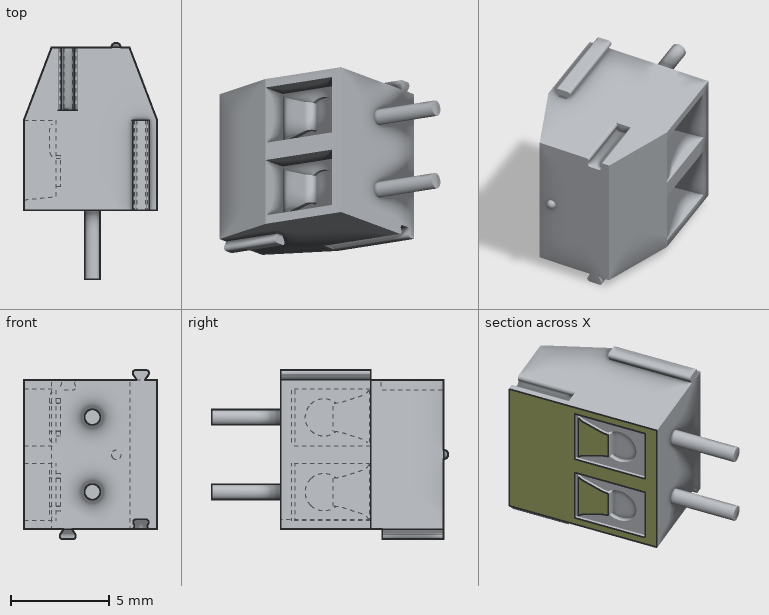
import cadquery as cq
import math


body_width = 6.8
body_length = 8.3
body_height = 7.6
straight_length = 4.6
nose_width = 3.98

pole_pitch = 3.81
pole_heights = (-pole_pitch / 2, pole_pitch / 2)

pin_diameter = 0.8
pin_length = 3.51
pin_x = 0.1
bump_radius = 0.24
bump_x = 1.3

dovetail_height = 0.51
dovetail_neck = 0.43
dovetail_top = 1.11
dovetail_round = 0.16
groove_floor = 0.48
nose_dovetail_x = -1.16
pin_dovetail_x = 2.57
nose_rib_length = 3.13
nose_groove_length = 3.2

pocket_depth = 1.63
pocket_height = 2.9
pocket_mouth_start = 0.54
pocket_floor_start = 0.71
recess_radius = 0.95
recess_depth = 0.24
recess_y = 2.19

guard_start = 2.65
guard_end = 4.52
guard_rise = 0.33
guard_round = 0.41
guard_half_tip = 0.7
guard_half_low = 0.76
guard_half_high = 1.1
guard_half_wide = 1.43

side_x = -body_width / 2
pocket_floor_x = side_x + pocket_depth
recess_floor_x = pocket_floor_x + recess_depth
guard_top_x = pocket_floor_x - guard_rise


def make_housing():
    """Block with both sides tapered towards the nose."""
    half_width = body_width / 2
    half_nose = nose_width / 2
    outline = [
        (-half_width, 0),
        (half_width, 0),
        (half_width, straight_length),
        (half_nose, body_length),
        (-half_nose, body_length),
        (-half_width, straight_length),
    ]
    return (
        cq.Workplane("XY", origin=(0, 0, -body_height / 2))
        .polyline(outline)
        .close()
        .extrude(body_height)
    )


def make_dovetail(x, surface_z, direction, y_start, length):
    """Rounded dovetail bar standing on surface_z; direction +1 points up, -1 down."""
    far_z = surface_z + direction * dovetail_height
    outline = [
        (x - dovetail_neck / 2, surface_z),
        (x + dovetail_neck / 2, surface_z),
        (x + dovetail_top / 2, far_z),
        (x - dovetail_top / 2, far_z),
    ]
    bar = (
        cq.Workplane("XZ", origin=(0, y_start, 0))
        .polyline(outline)
        .close()
        .extrude(-length)
    )
    far_face = ">Z" if direction > 0 else "<Z"
    return bar.faces(far_face).edges("|Y").fillet(dovetail_round)


def make_groove(x, surface_z, direction, y_start, length):
    """Groove for a dovetail rib: on each side a rounded mouth edge runs into a rounded bottom corner.

    direction is the way the groove is cut from surface_z: +1 up, -1 down.
    """
    radius = dovetail_round
    diagonal = radius * math.sqrt(0.5)
    corner_depth = dovetail_height - radius
    centre_spacing = math.sqrt((2 * radius) ** 2 - (corner_depth - radius) ** 2)
    mouth_half = groove_floor / 2 + centre_spacing
    touch_half = (groove_floor / 2 + mouth_half) / 2

    def point(side, half_width, depth):
        return (x + side * half_width, surface_z + direction * depth)

    def mouth_middle(side):
        return point(side, mouth_half - diagonal, radius - diagonal)

    def corner_middle(side):
        return point(side, groove_floor / 2 + diagonal, corner_depth + diagonal)

    return (
        cq.Workplane("XZ", origin=(0, y_start, 0))
        .moveTo(*point(-1, mouth_half, 0))
        .threePointArc(mouth_middle(-1), point(-1, touch_half, dovetail_height / 2))
        .threePointArc(corner_middle(-1), point(-1, groove_floor / 2, dovetail_height))
        .lineTo(*point(1, groove_floor / 2, dovetail_height))
        .threePointArc(corner_middle(1), point(1, touch_half, dovetail_height / 2))
        .threePointArc(mouth_middle(1), point(1, mouth_half, 0))
        .close()
        .extrude(-length)
    )


def make_guard():
    """Hump with rounded ends that flares out towards the nose."""
    height = recess_floor_x - guard_top_x
    flat_start = guard_start + guard_round
    flat_end = guard_end - guard_round
    half_plan = (
        cq.Workplane("YZ", origin=(guard_top_x, 0, 0))
        .moveTo(flat_start, guard_half_low)
        .lineTo(flat_end, guard_half_high)
        .tangentArcPoint((guard_end, guard_half_wide), relative=False)
        .lineTo(guard_end, 0)
        .lineTo(guard_start, 0)
        .lineTo(guard_start, guard_half_tip)
        .close()
        .extrude(height)
    )
    plan = half_plan.union(half_plan.mirror("XY"))
    hump = (
        cq.Workplane("XY", origin=(guard_top_x, guard_start, -guard_half_wide))
        .rect(height, guard_end - guard_start, centered=False)
        .extrude(2 * guard_half_wide)
        .faces("<X")
        .edges("|Z")
        .fillet(guard_round)
    )
    return plan.intersect(hump)


def make_pocket():
    """Empty space of one wire pocket, centred on Z = 0."""
    outline = [
        (side_x, pocket_mouth_start),
        (pocket_floor_x, pocket_floor_start),
        (pocket_floor_x, straight_length),
        (side_x, straight_length),
    ]
    opening = (
        cq.Workplane("XY", origin=(0, 0, -pocket_height / 2))
        .polyline(outline)
        .close()
        .extrude(pocket_height)
    )
    recess = (
        cq.Workplane("YZ", origin=(pocket_floor_x, 0, 0))
        .center(recess_y, 0)
        .circle(recess_radius)
        .extrude(recess_depth)
    )
    return opening.union(recess).cut(make_guard())


def make_pin(z):
    """Round solder pin standing on the pin face."""
    return (
        cq.Workplane("XZ")
        .center(pin_x, z)
        .circle(pin_diameter / 2)
        .extrude(pin_length)
    )


top_z = body_height / 2
bottom_z = -body_height / 2
nose_groove_start = body_length - nose_groove_length
nose_rib_start = body_length - nose_rib_length

result = make_housing()

result = result.cut(make_groove(nose_dovetail_x, top_z, -1, nose_groove_start, nose_groove_length))
result = result.cut(make_groove(pin_dovetail_x, bottom_z, 1, 0, straight_length))
result = result.union(make_dovetail(pin_dovetail_x, top_z, 1, 0, straight_length))
result = result.union(make_dovetail(nose_dovetail_x, bottom_z, -1, nose_rib_start, nose_rib_length))

pocket = make_pocket()
for pole_z in pole_heights:
    result = result.cut(pocket.translate((0, 0, pole_z)))
    result = result.union(make_pin(pole_z))

bump = cq.Workplane("XY").sphere(bump_radius).translate((bump_x, body_length, 0))
result = result.union(bump)